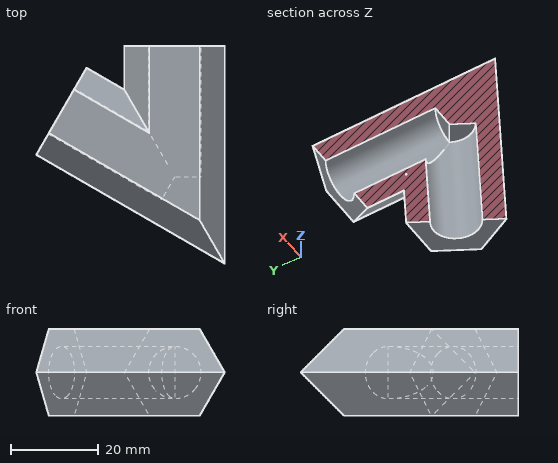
import cadquery as cq
import math

side_count = 6
across_flats = 20.0
arm_length = 30.0
arm_angle = 60.0
bore_diameter = 12.0
bore_depth = arm_length

half_angle = arm_angle / 2
corner_diameter = across_flats / math.cos(math.pi / side_count)
tail_length = corner_diameter / 2 / math.tan(math.radians(half_angle))
bar_length = arm_length + tail_length


def turn(body, angle):
    """Rotate a body about the vertical line through the axis crossing."""
    return body.rotate((0, 0, 0), (0, 0, 1), angle)


def end_face():
    """Sketch plane on the open end of the arm along +Y, extruding back into the arm."""
    return cq.Workplane("XZ", origin=(0, arm_length, 0))


def straight_arm():
    """Hexagonal bar along Y, kept only on the +X side of the mitre plane."""
    bar = end_face().polygon(side_count, corner_diameter).extrude(bar_length)
    half_space = cq.Workplane("XY").box(
        bar_length, 2 * bar_length, across_flats, centered=(False, True, True)
    )
    return bar.intersect(turn(half_space, half_angle))


def leaning_arm():
    """Mirror image of the straight arm across the mitre plane."""
    return turn(turn(straight_arm(), -half_angle).mirror("YZ"), half_angle)


def bore():
    """Round bore entering the open end of the straight arm."""
    return end_face().circle(bore_diameter / 2).extrude(bore_depth)


connector = straight_arm().union(leaning_arm()).clean()
for axis_angle in (0, arm_angle):
    connector = connector.cut(turn(bore(), axis_angle))

result = connector